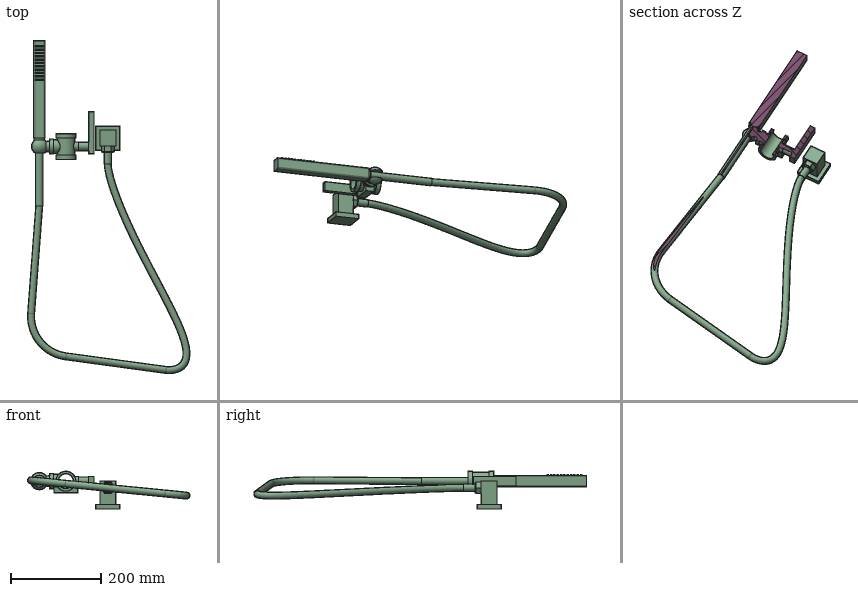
import cadquery as cq
import math


HANDSET_WIDTH = 26.0
HANDSET_HEIGHT = 26.0
HANDSET_EDGE_RADIUS = 3.0
HANDSET_START_Y = 18.5
HANDSET_END_Y = 234.5
NECK_RADIUS = 12.0

NOZZLE_ROWS = 11
NOZZLES_PER_ROW = 5
NOZZLE_ROW_PITCH = 7.5
NOZZLE_PITCH = 4.05
NOZZLE_RADIUS = 1.6
NOZZLE_HEIGHT = 1.85
FIRST_NOZZLE_GAP = 12.5

SLEEVE_DIAMETER = 17.0
HANDSET_SLEEVE_END_Y = -132.0
HOSE_DIAMETER = 15.5
HOSE_OVERLAP = 2.0
HOSE_TILT = 5.6
OUTLET_SLEEVE_END_Y = -38.0

BEND_CORNER = (-24.0, -453.0)
BEND_TANGENT_LENGTH = 84.0
RUN_END = (279.0, -494.5)
RETURN_POLES = [(396.5, -454.0), (245.5, -332.5)]
RUN_TANGENT_LENGTH = 51.5
OUTLET_TANGENT_LENGTH = 57.0

OUTLET_X = 152.0
OUTLET_Y = 18.5
PLATE_WIDTH = 54.0
PLATE_THICKNESS = 10.0
PLATE_BOTTOM_Z = -62.0
COLUMN_WIDTH = 35.5
COLUMN_TOP_Z = 1.0
NUT_ACROSS_FLATS = 25.0
NUT_LENGTH = 14.0
NUT_CHAMFER = 2.0

BALL_RADIUS = 19.0
BALL_HALF_LENGTH = 14.0
HOLDER_NECK_START_RADIUS = 9.0
HOLDER_NECK_END_RADIUS = 12.5
FLANGE_RADIUS = 17.0
FLANGE_START_X = 23.0
FLANGE_END_X = 31.0
SPUD_RADIUS = 15.5

VALVE_X = 59.0
VALVE_HALF_LENGTH = 29.0
VALVE_RADIUS = 20.0
CAP_RADIUS = 22.0
CAP_LENGTH = 10.0
VALVE_BORE_RADIUS = 16.0
FOOT_LENGTH = 53.0
FOOT_WIDTH = 18.5
FOOT_DEPTH = 26.0

BOSS_RADIUS = 10.0
BOSS_END_X = 87.0
SHAFT_RADIUS = 9.5
LEVER_START_X = 109.0
LEVER_THICKNESS = 12.5
LEVER_HEIGHT = 21.0
LEVER_LENGTH = 93.5
LEVER_END_Y = 77.5

TILT = math.radians(HOSE_TILT)
HOSE_PLANE = cq.Plane(
    origin=(0, 0, 0),
    xDir=(math.cos(TILT), 0, -math.sin(TILT)),
    normal=(math.sin(TILT), 0, math.cos(TILT)),
)
OUTLET_AXIS_Z = -OUTLET_X * math.tan(TILT)


def cylinder_along_x(radius, start_x, end_x):
    return cq.Workplane("YZ", origin=(start_x, 0, 0)).circle(radius).extrude(end_x - start_x)


def cylinder_along_y(radius, start_y, end_y, x=0.0, z=0.0):
    return cq.Workplane("XZ", origin=(x, end_y, z)).circle(radius).extrude(end_y - start_y)


def box_between(x_range, y_range, z_range):
    size = [high - low for low, high in (x_range, y_range, z_range)]
    corner = (x_range[0], y_range[0], z_range[0])
    return cq.Workplane("XY").box(*size, centered=False).translate(corner)


def make_handset():
    bar = (
        cq.Workplane("XZ", origin=(0, HANDSET_END_Y, 0))
        .rect(HANDSET_WIDTH, HANDSET_HEIGHT)
        .extrude(HANDSET_END_Y - HANDSET_START_Y)
        .edges("|Y")
        .fillet(HANDSET_EDGE_RADIUS)
    )
    field_length = (NOZZLE_ROWS - 1) * NOZZLE_ROW_PITCH
    field_center_y = HANDSET_END_Y - FIRST_NOZZLE_GAP - field_length / 2
    nozzles = (
        cq.Workplane("XY", origin=(0, field_center_y, HANDSET_HEIGHT / 2))
        .rarray(NOZZLE_PITCH, NOZZLE_ROW_PITCH, NOZZLES_PER_ROW, NOZZLE_ROWS)
        .circle(NOZZLE_RADIUS)
        .extrude(NOZZLE_HEIGHT)
    )
    neck = cylinder_along_y(NECK_RADIUS, BALL_HALF_LENGTH, HANDSET_START_Y)
    sleeve = cylinder_along_y(SLEEVE_DIAMETER / 2, HANDSET_SLEEVE_END_Y, BALL_HALF_LENGTH)
    return bar.union(nozzles).union(neck).union(sleeve)


def in_hose_plane(x, y):
    """Point of the hose plane that lies at the given X and Y."""
    return (x / math.cos(TILT), y)


def unit_direction(start, end):
    length = math.dist(start, end)
    return ((end[0] - start[0]) / length, (end[1] - start[1]) / length)


def point_along(start, direction, distance):
    return (start[0] + direction[0] * distance, start[1] + direction[1] * distance)


def make_hose():
    start = in_hose_plane(0, HANDSET_SLEEVE_END_Y + HOSE_OVERLAP)
    bend_corner = in_hose_plane(*BEND_CORNER)
    run_end = in_hose_plane(*RUN_END)
    outlet_end = in_hose_plane(OUTLET_X, OUTLET_SLEEVE_END_Y)
    drop_direction = unit_direction(start, bend_corner)
    run_direction = unit_direction(bend_corner, run_end)
    bend_start = point_along(bend_corner, drop_direction, -BEND_TANGENT_LENGTH)
    bend_end = point_along(bend_corner, run_direction, BEND_TANGENT_LENGTH)
    return_poles = [
        point_along(run_end, run_direction, RUN_TANGENT_LENGTH),
        *[in_hose_plane(x, y) for x, y in RETURN_POLES],
        point_along(outlet_end, (0, -1), OUTLET_TANGENT_LENGTH),
        outlet_end,
    ]
    path = (
        cq.Workplane(HOSE_PLANE)
        .moveTo(*start)
        .lineTo(*bend_start)
        .tangentArcPoint(bend_end, relative=False)
        .lineTo(*run_end)
        .bezier(return_poles, includeCurrent=True)
    )
    section_origin = HOSE_PLANE.toWorldCoords(start)
    section_normal = HOSE_PLANE.toWorldCoords(bend_start) - section_origin
    section = cq.Plane(origin=section_origin, xDir=HOSE_PLANE.zDir, normal=section_normal)
    return cq.Workplane(section).circle(HOSE_DIAMETER / 2).sweep(path)


def make_outlet():
    plate_top_z = PLATE_BOTTOM_Z + PLATE_THICKNESS
    column_front_y = OUTLET_Y - COLUMN_WIDTH / 2
    nut_end_y = column_front_y - NUT_LENGTH
    plate = (
        cq.Workplane("XY", origin=(OUTLET_X, OUTLET_Y, PLATE_BOTTOM_Z))
        .rect(PLATE_WIDTH, PLATE_WIDTH)
        .extrude(PLATE_THICKNESS)
    )
    column = (
        cq.Workplane("XY", origin=(OUTLET_X, OUTLET_Y, plate_top_z))
        .rect(COLUMN_WIDTH, COLUMN_WIDTH)
        .extrude(COLUMN_TOP_Z - plate_top_z)
    )
    nut = (
        cq.Workplane("XZ", origin=(OUTLET_X, column_front_y, OUTLET_AXIS_Z))
        .polygon(6, NUT_ACROSS_FLATS / math.cos(math.pi / 6))
        .extrude(NUT_LENGTH)
        .faces("<Y")
        .chamfer(NUT_CHAMFER)
    )
    sleeve = cylinder_along_y(SLEEVE_DIAMETER / 2, OUTLET_SLEEVE_END_Y, nut_end_y, OUTLET_X, OUTLET_AXIS_Z)
    return plate.union(column).union(nut).union(sleeve)


def make_hand_shower():
    return make_handset().union(make_hose()).union(make_outlet())


def make_ball_holder():
    ball_envelope = box_between(
        (-BALL_RADIUS, BALL_RADIUS), (-BALL_HALF_LENGTH, BALL_HALF_LENGTH), (-BALL_RADIUS, BALL_RADIUS)
    )
    ball = cq.Workplane("XY").sphere(BALL_RADIUS).intersect(ball_envelope)
    neck = (
        cq.Workplane("YZ")
        .circle(HOLDER_NECK_START_RADIUS)
        .workplane(offset=FLANGE_START_X)
        .circle(HOLDER_NECK_END_RADIUS)
        .loft(ruled=True)
    )
    flange = cylinder_along_x(FLANGE_RADIUS, FLANGE_START_X, FLANGE_END_X)
    spud = cylinder_along_x(SPUD_RADIUS, FLANGE_END_X, VALVE_X)
    bore = cylinder_along_y(SLEEVE_DIAMETER / 2, -BALL_HALF_LENGTH, BALL_HALF_LENGTH)
    slot = box_between(
        (-BALL_RADIUS, 0), (-BALL_HALF_LENGTH, BALL_HALF_LENGTH), (-SLEEVE_DIAMETER / 2, SLEEVE_DIAMETER / 2)
    )
    return ball.union(neck).union(flange).union(spud).cut(bore).cut(slot)


def make_valve_body():
    body = cylinder_along_y(VALVE_RADIUS, -VALVE_HALF_LENGTH, VALVE_HALF_LENGTH, VALVE_X)
    for cap_start in (-VALVE_HALF_LENGTH, VALVE_HALF_LENGTH - CAP_LENGTH):
        body = body.union(cylinder_along_y(CAP_RADIUS, cap_start, cap_start + CAP_LENGTH, VALVE_X))
    foot = box_between(
        (VALVE_X - FOOT_LENGTH / 2, VALVE_X + FOOT_LENGTH / 2),
        (-FOOT_WIDTH / 2, FOOT_WIDTH / 2),
        (-FOOT_DEPTH, 0),
    )
    return body.union(foot)


def make_lever():
    boss = cylinder_along_x(BOSS_RADIUS, VALVE_X, BOSS_END_X)
    shaft = cylinder_along_x(SHAFT_RADIUS, BOSS_END_X, LEVER_START_X)
    handle = box_between(
        (LEVER_START_X, LEVER_START_X + LEVER_THICKNESS),
        (LEVER_END_Y - LEVER_LENGTH, LEVER_END_Y),
        (-LEVER_HEIGHT / 2, LEVER_HEIGHT / 2),
    )
    return boss.union(shaft).union(handle)


def make_holder_valve():
    valve_bore = cylinder_along_y(VALVE_BORE_RADIUS, -VALVE_HALF_LENGTH, VALVE_HALF_LENGTH, VALVE_X)
    return make_ball_holder().union(make_valve_body()).union(make_lever()).cut(valve_bore)


hand_shower = make_hand_shower()
holder_valve = make_holder_valve()

result = cq.Compound.makeCompound([hand_shower.val(), holder_valve.val()])